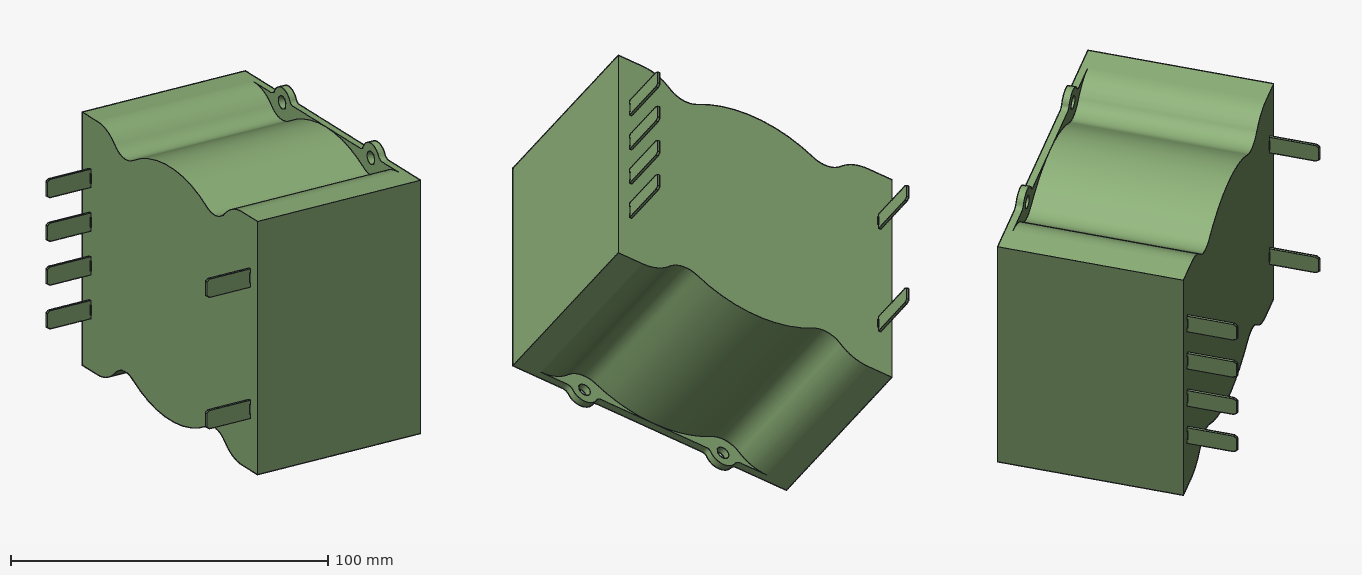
import cadquery as cq
import math

width = 103.0
height = 87.0
body_depth = 61.0

plate_thickness = 2.5
lug_spacing_x = 52.1
lug_spacing_z = 85.0
lug_radius = 5.0
lug_hole_diameter = 4.3
lug_outer_fillet = 2.6
lug_inner_fillet = 1.8

coil_radius = height / 2
valley_radius = 8.4
shoulder_radius = 14.0
flank_slope = math.radians(43)

tab_length = 16.5
tab_width = 6.3
tab_thickness = 0.8
tab_spacing_x = 93.7
tab_pitch = 15.0
left_tab_rows = (-1.5, -0.5, 0.5, 1.5)
right_tab_rows = (-1.5, 1.5)
tab_tip_length = 1.2
tab_tip_inset = 0.8
tab_tip_bevel = 0.3

stop_width = 3.3
stop_height = 0.4
stop_length = 0.2

half_height = height / 2
lug_x = lug_spacing_x / 2
lug_z = lug_spacing_z / 2
plate_front = body_depth - plate_thickness


def extrude_back(sketch, start, end):
    """Extrude a profile drawn on the XZ plane from Y = start to Y = end."""
    return sketch.extrude(start - end).translate((0, start, 0))


def arc_point(center, radius, angle):
    """Point on a circle, with the angle in radians from +X."""
    return (center[0] + radius * math.cos(angle), center[1] + radius * math.sin(angle))


def arc(sketch, center, radius, start_angle, end_angle):
    """Continue the outline along a circle to end_angle."""
    middle = arc_point(center, radius, (start_angle + end_angle) / 2)
    return sketch.threePointArc(middle, arc_point(center, radius, end_angle))


def make_recess():
    """Cutter for the upper-left wave: shoulder, short straight flank, valley, then the coil side."""
    valley = (-lug_x, math.sqrt((coil_radius + valley_radius) ** 2 - lug_x**2))
    coil_angle = math.atan2(valley[1], valley[0])
    flank_normal = math.pi / 2 + flank_slope

    flank_bottom = arc_point(valley, valley_radius, -flank_normal)
    shoulder_z = half_height - shoulder_radius
    flank_top_z = shoulder_z + shoulder_radius * math.cos(flank_slope)
    flank_top_x = flank_bottom[0] - (flank_top_z - flank_bottom[1]) / math.tan(flank_slope)
    shoulder = (flank_top_x - shoulder_radius * math.sin(flank_slope), shoulder_z)

    outline = cq.Workplane("XZ").moveTo(shoulder[0], half_height)
    outline = arc(outline, shoulder, shoulder_radius, math.pi / 2, math.pi / 2 - flank_slope)
    outline = outline.lineTo(*flank_bottom)
    outline = arc(outline, valley, valley_radius, -flank_normal, coil_angle - math.pi)
    outline = arc(outline, (0, 0), coil_radius, coil_angle, math.pi / 2)
    return extrude_back(outline.close(), 0, plate_front)


def make_lug():
    """Upper-left lug: a round ear blended into the top edge of the plate."""
    edge_rise = half_height - lug_z

    def blend_reach(fillet):
        return math.sqrt((lug_radius + fillet) ** 2 - (edge_rise + fillet) ** 2)

    outer = (-lug_x - blend_reach(lug_outer_fillet), half_height + lug_outer_fillet)
    inner = (-lug_x + blend_reach(lug_inner_fillet), half_height + lug_inner_fillet)
    outer_angle = math.atan2(outer[1] - lug_z, outer[0] + lug_x)
    inner_angle = math.atan2(inner[1] - lug_z, inner[0] + lug_x)

    root_z = half_height - plate_thickness
    outline = cq.Workplane("XZ").moveTo(outer[0], root_z).lineTo(outer[0], half_height)
    outline = arc(outline, outer, lug_outer_fillet, -math.pi / 2, outer_angle - math.pi)
    outline = arc(outline, (-lug_x, lug_z), lug_radius, outer_angle, inner_angle)
    outline = arc(outline, inner, lug_inner_fillet, inner_angle + math.pi, 1.5 * math.pi)
    outline = outline.lineTo(inner[0], root_z).close()
    return extrude_back(outline, plate_front, body_depth)


def in_four_corners(shape):
    """The upper-left shape together with its mirror images in X and Z."""
    pair = shape.union(shape.mirror("YZ"))
    return pair.union(pair.mirror("XY"))


def make_tab():
    """Left-hand tab centred on Z = 0, pointing to -Y, with a tapered tip and a root stop."""
    center_x = -tab_spacing_x / 2
    half_tab = tab_width / 2
    blade = (
        cq.Workplane("YZ")
        .polyline([
            (0, -half_tab),
            (0, half_tab),
            (tab_tip_length - tab_length, half_tab),
            (-tab_length, half_tab - tab_tip_inset),
            (-tab_length, tab_tip_inset - half_tab),
            (tab_tip_length - tab_length, -half_tab),
        ])
        .close()
        .extrude(tab_thickness / 2, both=True)
        .translate((center_x, 0, 0))
    )
    blade = blade.faces("<Y").edges("|Z").chamfer(tab_tip_bevel)

    press = cq.Workplane("XY").box(stop_height, stop_length, stop_width)
    press = press.translate((0, -stop_length / 2, 0))
    dent = press.translate((center_x - (tab_thickness - stop_height) / 2, 0, 0))
    bump = press.translate((center_x + (tab_thickness + stop_height) / 2, 0, 0))
    return blade.cut(dent).union(bump)


body = extrude_back(cq.Workplane("XZ").rect(width, height), 0, body_depth)
body = body.cut(in_four_corners(make_recess()))
body = body.union(in_four_corners(make_lug()))

holes = cq.Workplane("XZ").rect(lug_spacing_x, lug_spacing_z, forConstruction=True).vertices()
body = body.cut(extrude_back(holes.circle(lug_hole_diameter / 2), plate_front, body_depth))

left_tab = make_tab()
right_tab = left_tab.mirror("YZ")
for row in left_tab_rows:
    body = body.union(left_tab.translate((0, 0, row * tab_pitch)))
for row in right_tab_rows:
    body = body.union(right_tab.translate((0, 0, row * tab_pitch)))

result = body